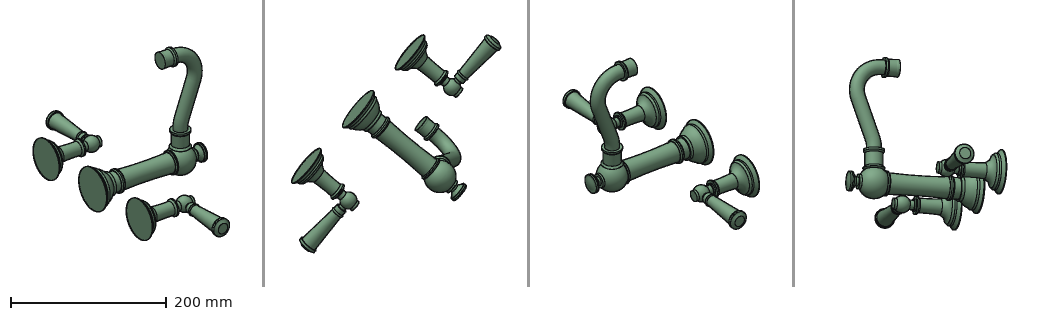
import cadquery as cq
import math


overall_width = 371.0
handle_spacing = 203.0
handle_offset = handle_spacing / 2
lever_length = overall_width / 2 - handle_offset

flange_radius = 30.5
flange_rim = 1.5
flange_shoulder_radius = 26.5
flange_shoulder_start = 5.5
flange_shoulder_end = 9.0
flange_cone_radius = 24.5
flange_cone_start = 11.0
flange_cone_end = 22.3
flange_bulge = 1.0
barrel_collar_radius = 16.5
lower_collar_end = 26.5
barrel_radius = 14.0
barrel_waist_radius = 13.0
ring_edge_radius = 15.0
middle_ring_start = 35.5
middle_ring_end = 41.5
middle_ring_slope = 2.0
upper_collar_start = 121.3
upper_collar_slope = 1.5
upper_collar_end = 125.0

ball_center = 139.5
ball_radius = 20.8
knob_base_radius = 9.5
knob_base_end = 161.0
knob_neck_radius = 6.0
knob_neck_end = 164.3
knob_cone_radius = 11.5
knob_edge_radius = 12.5
knob_radius = 13.0
knob_disc_start = 169.0
knob_disc_end = 173.5
knob_face_radius = 9.3
knob_end = 175.0

socket_radius = 12.0
socket_foot_radius = 14.5
socket_foot_bottom = 17.0
socket_foot_widest = 19.0
socket_foot_top = 22.0
socket_lip_bottom = 39.0
socket_lip_radius = 13.7
socket_lip_lower_edge = 41.0
socket_top = 43.8

pipe_radius = 9.5
pipe_tilt = 20.0
lower_bend_height = 47.0
lower_bend_radius = 33.5
upper_bend_radius = 32.0

nozzle_collar_radius = 13.0
nozzle_radius = 11.0
nozzle_lip_radius = 11.5
nozzle_collar_start = 126.5
nozzle_collar_edge = 124.0
nozzle_collar_end = 121.5
nozzle_lip_start = 111.3
nozzle_lip_edge = 109.8
nozzle_end = 107.0
overall_top = 166.0
outlet_height = overall_top - nozzle_collar_radius

post_flange_radius = 28.5
post_flange_rim = 1.0
post_shoulder_radius = 23.7
post_shoulder_start = 5.5
post_shoulder_end = 8.0
post_cone_radius = 21.5
post_cone_start = 11.0
post_cone_end = 17.0
post_cone_hollow = 1.0
post_ring_radius = 13.0
post_foot_radius = 10.5
post_foot_end = 21.0
post_radius = 9.5
post_hollow = 0.5
post_collar_start = 50.0
post_collar_radius = 12.0
post_collar_mid = 52.5
post_collar_end = 55.0
washer_radius = 8.0
washer_end = 57.0
post_neck_radius = 6.3

handle_ball_center = 72.0
handle_ball_radius = 11.0
button_radius = 7.5
button_end = 83.8
lever_neck_radius = 5.2
lever_neck_end = 13.5
ferrule_radius = 7.5
ferrule_ring_radius = 8.5
ferrule_ring_start = 19.5
ferrule_ring_end = 22.5
grip_small_radius = 7.5
grip_large_radius = 11.0
grip_end = 77.5
tip_flange_radius = 12.5
tip_flange_end = 81.2
tip_dome_radius = 10.0
tip_dome_start = 82.5
tip_face_radius = 7.5


def turning_sketch(origin, across, normal):
    """Plane whose local X is the radius and local Y runs along the turning axis."""
    return cq.Workplane(cq.Plane(origin=origin, xDir=across, normal=normal))


def turn(outline):
    """Close an outline and turn it about its local Y axis."""
    return outline.close().revolve(360, (0, 0), (0, 1))


def wall_outline(x_place):
    """Sketch for a shape turned about a line along +Y at the given X."""
    return turning_sketch((x_place, 0, 0), (1, 0, 0), (0, 0, 1))


def make_barrel():
    barrel_middle = (middle_ring_end + upper_collar_start) / 2
    outline = (
        wall_outline(0)
        .lineTo(flange_radius, 0)
        .lineTo(flange_radius, flange_rim)
        .lineTo(flange_shoulder_radius, flange_shoulder_start)
        .lineTo(flange_shoulder_radius, flange_shoulder_end)
        .lineTo(flange_cone_radius, flange_cone_start)
        .sagittaArc((barrel_collar_radius, flange_cone_end), -flange_bulge)
        .lineTo(barrel_collar_radius, lower_collar_end)
        .lineTo(barrel_radius, lower_collar_end)
        .lineTo(barrel_radius, middle_ring_start)
        .lineTo(ring_edge_radius, middle_ring_start)
        .lineTo(barrel_collar_radius, middle_ring_start + middle_ring_slope)
        .lineTo(barrel_collar_radius, middle_ring_end - middle_ring_slope)
        .lineTo(ring_edge_radius, middle_ring_end)
        .lineTo(barrel_radius, middle_ring_end)
        .threePointArc((barrel_waist_radius, barrel_middle), (barrel_radius, upper_collar_start))
        .lineTo(ring_edge_radius, upper_collar_start)
        .lineTo(barrel_collar_radius, upper_collar_start + upper_collar_slope)
        .lineTo(barrel_collar_radius, upper_collar_end)
        .lineTo(barrel_radius, upper_collar_end)
        .lineTo(barrel_radius, ball_center)
        .lineTo(0, ball_center)
    )
    return turn(outline)


def make_knob():
    face_rise = knob_end - knob_disc_end
    face_sphere_radius = (knob_face_radius**2 + face_rise**2) / (2 * face_rise)
    outline = (
        wall_outline(0)
        .moveTo(0, ball_center)
        .lineTo(knob_base_radius, ball_center)
        .lineTo(knob_base_radius, knob_base_end)
        .lineTo(knob_neck_radius, knob_base_end)
        .lineTo(knob_neck_radius, knob_neck_end)
        .lineTo(knob_cone_radius, knob_disc_start)
        .lineTo(knob_edge_radius, knob_disc_start)
        .lineTo(knob_radius, (knob_disc_start + knob_disc_end) / 2)
        .lineTo(knob_edge_radius, knob_disc_end)
        .lineTo(knob_face_radius, knob_disc_end)
        .radiusArc((0, knob_end), -face_sphere_radius)
    )
    return turn(outline)


def make_socket():
    outline = (
        turning_sketch((0, ball_center, 0), (1, 0, 0), (0, -1, 0))
        .lineTo(socket_radius, 0)
        .lineTo(socket_radius, socket_foot_bottom)
        .lineTo(socket_foot_radius, socket_foot_widest)
        .lineTo(socket_radius, socket_foot_top)
        .lineTo(socket_radius, socket_lip_bottom)
        .lineTo(socket_lip_radius, socket_lip_lower_edge)
        .lineTo(socket_lip_radius, socket_top)
        .lineTo(0, socket_top)
    )
    return turn(outline)


def make_pipe():
    """Pipe that rises, leans back and swings over through a right angle plus the lean."""
    tilt = math.radians(pipe_tilt)
    lean_start_y = ball_center + lower_bend_radius * (1 - math.cos(tilt))
    lean_start_z = lower_bend_height + lower_bend_radius * math.sin(tilt)
    half_bend_y = ball_center + lower_bend_radius * (1 - math.cos(tilt / 2))
    half_bend_z = lower_bend_height + lower_bend_radius * math.sin(tilt / 2)

    arch_center_z = outlet_height - upper_bend_radius
    lean_end_z = arch_center_z - upper_bend_radius * math.sin(tilt)
    lean_end_y = lean_start_y + (lean_end_z - lean_start_z) * math.tan(tilt)
    arch_center_y = lean_end_y - upper_bend_radius * math.cos(tilt)
    arch_middle = (math.pi / 2 - tilt) / 2
    arch_middle_y = arch_center_y + upper_bend_radius * math.cos(arch_middle)
    arch_middle_z = arch_center_z + upper_bend_radius * math.sin(arch_middle)

    path = (
        cq.Workplane("YZ")
        .moveTo(ball_center, 0)
        .lineTo(ball_center, lower_bend_height)
        .threePointArc((half_bend_y, half_bend_z), (lean_start_y, lean_start_z))
        .lineTo(lean_end_y, lean_end_z)
        .threePointArc((arch_middle_y, arch_middle_z), (arch_center_y, outlet_height))
        .lineTo(nozzle_collar_end, outlet_height)
    )
    start = cq.Workplane("XY", origin=(0, ball_center, 0))
    return start.circle(pipe_radius).sweep(path)


def make_nozzle():
    outline = (
        turning_sketch((0, 0, outlet_height), (1, 0, 0), (0, 0, 1))
        .moveTo(0, nozzle_collar_start)
        .lineTo(nozzle_collar_radius, nozzle_collar_start)
        .lineTo(nozzle_collar_radius, nozzle_collar_edge)
        .lineTo(nozzle_radius, nozzle_collar_end)
        .lineTo(nozzle_radius, nozzle_lip_start)
        .lineTo(nozzle_lip_radius, nozzle_lip_edge)
        .lineTo(nozzle_lip_radius, nozzle_end)
        .lineTo(0, nozzle_end)
    )
    return turn(outline)


def make_spout():
    ball = cq.Workplane("XY", origin=(0, ball_center, 0)).sphere(ball_radius)
    spout = make_barrel().union(ball)
    for piece in (make_knob(), make_socket(), make_pipe(), make_nozzle()):
        spout = spout.union(piece)
    return spout


def make_post(x_place):
    outline = (
        wall_outline(x_place)
        .lineTo(post_flange_radius, 0)
        .lineTo(post_flange_radius, post_flange_rim)
        .lineTo(post_shoulder_radius, post_shoulder_start)
        .lineTo(post_shoulder_radius, post_shoulder_end)
        .lineTo(post_cone_radius, post_cone_start)
        .sagittaArc((post_ring_radius, post_cone_end), post_cone_hollow)
        .lineTo(post_foot_radius, post_foot_end)
        .sagittaArc((post_radius, post_collar_start), post_hollow)
        .lineTo(post_collar_radius, post_collar_mid)
        .lineTo(post_collar_radius, post_collar_end)
        .lineTo(washer_radius, post_collar_end)
        .lineTo(washer_radius, washer_end)
        .lineTo(post_neck_radius, washer_end)
        .lineTo(post_neck_radius, handle_ball_center)
        .lineTo(button_radius, handle_ball_center)
        .lineTo(button_radius, button_end)
        .lineTo(0, button_end)
    )
    return turn(outline)


def make_lever(x_place, side):
    """Lever that points toward -X (side = -1) or +X (side = 1)."""
    ring_bulge = (ferrule_ring_start + ferrule_ring_end) / 2
    outline = (
        turning_sketch((x_place, handle_ball_center, 0), (0, 0, 1), (0, side, 0))
        .lineTo(lever_neck_radius, 0)
        .lineTo(lever_neck_radius, lever_neck_end)
        .lineTo(ferrule_radius, lever_neck_end)
        .lineTo(ferrule_radius, ferrule_ring_start)
        .threePointArc((ferrule_ring_radius, ring_bulge), (grip_small_radius, ferrule_ring_end))
        .lineTo(grip_large_radius, grip_end)
        .lineTo(tip_flange_radius, grip_end)
        .lineTo(tip_flange_radius, tip_flange_end)
        .lineTo(tip_dome_radius, tip_dome_start)
        .lineTo(tip_face_radius, lever_length)
        .lineTo(0, lever_length)
    )
    return turn(outline)


def make_handle(side):
    x_place = side * handle_offset
    ball = cq.Workplane("XY", origin=(x_place, handle_ball_center, 0)).sphere(handle_ball_radius)
    return make_post(x_place).union(ball).union(make_lever(x_place, side))


spout = make_spout()
handles = [make_handle(side) for side in (-1, 1)]

result = cq.Compound.makeCompound([spout.val(), *[handle.val() for handle in handles]])